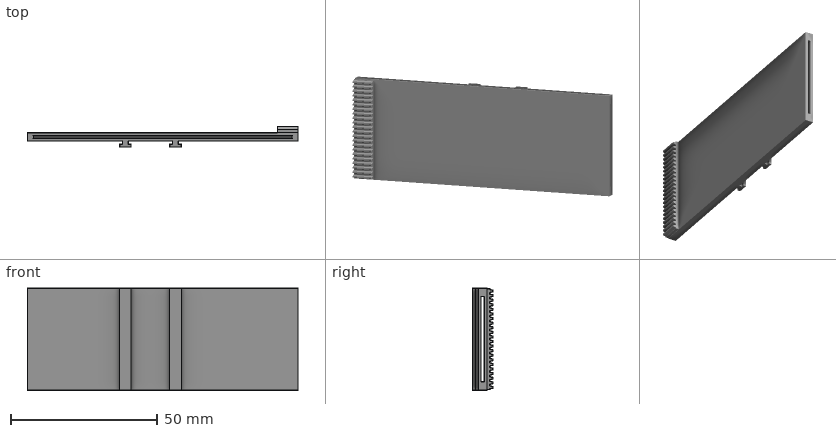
import cadquery as cq
import math

plate_length = 92.5
plate_thickness = 3.0
plate_height = 35.0

cavity_width = 1.0
cavity_end_wall = 2.0
window_margin = 3.0

rail_centers = (33.5, 50.6)
rail_neck_width = 2.0
rail_neck_depth = 1.0
rail_flange_width = 4.0
rail_flange_depth = 1.0

rack_module = 0.5
pressure_angle = math.radians(14.5)
dedendum_ratio = 1.25
tooth_count = 22
rack_width = 7.0
rack_base_depth = 1.0

tooth_pitch = math.pi * rack_module
tooth_addendum = rack_module
tooth_dedendum = dedendum_ratio * rack_module
rack_length = tooth_count * tooth_pitch
tip_half_width = tooth_pitch / 4 - tooth_addendum * math.tan(pressure_angle)
root_half_width = tooth_pitch / 4 + tooth_dedendum * math.tan(pressure_angle)

plate_mid_y = plate_thickness / 2
plate_mid_z = plate_height / 2


def box(x_start, y_start, z_start, length, depth, height):
    """Box placed by its lowest corner."""
    return cq.Workplane("XY").box(length, depth, height, centered=False).translate((x_start, y_start, z_start))


def make_rail(center_x):
    """Full-height T-rail: a narrow neck with a wider flange in front of it."""
    neck = box(
        center_x - rail_neck_width / 2, -rail_neck_depth, 0,
        rail_neck_width, rail_neck_depth, plate_height,
    )
    flange = box(
        center_x - rail_flange_width / 2, -rail_neck_depth - rail_flange_depth, 0,
        rail_flange_width, rail_flange_depth, plate_height,
    )
    return neck.union(flange)


def make_plate():
    """Plate with front rails, a cavity open at the top and a window through both ends."""
    plate = box(0, 0, 0, plate_length, plate_thickness, plate_height)
    for center_x in rail_centers:
        plate = plate.union(make_rail(center_x))

    cavity_front_y = plate_mid_y - cavity_width / 2
    cavity = box(
        cavity_end_wall, cavity_front_y, window_margin,
        plate_length - 2 * cavity_end_wall, cavity_width, plate_height - window_margin,
    )
    end_windows = box(
        0, cavity_front_y, window_margin,
        plate_length, cavity_width, plate_height - 2 * window_margin,
    )
    return plate.cut(cavity).cut(end_windows)


def make_rack():
    """Straight gear rack with its teeth stacked along Z and pointing away from the plate."""
    root_y = plate_thickness + rack_base_depth
    tip_y = root_y + tooth_addendum + tooth_dedendum
    bottom_z = plate_mid_z - rack_length / 2

    outline = [(plate_thickness, bottom_z), (root_y, bottom_z)]
    for index in range(tooth_count):
        center_z = bottom_z + (index + 0.5) * tooth_pitch
        outline += [
            (root_y, center_z - root_half_width),
            (tip_y, center_z - tip_half_width),
            (tip_y, center_z + tip_half_width),
            (root_y, center_z + root_half_width),
        ]
    outline += [(root_y, bottom_z + rack_length), (plate_thickness, bottom_z + rack_length)]

    rack = cq.Workplane("YZ").polyline(outline).close().extrude(rack_width)
    return rack.translate((plate_length - rack_width, 0, 0))


plate = make_plate()
rack = make_rack()

result = cq.Compound.makeCompound([plate.val(), rack.val()])